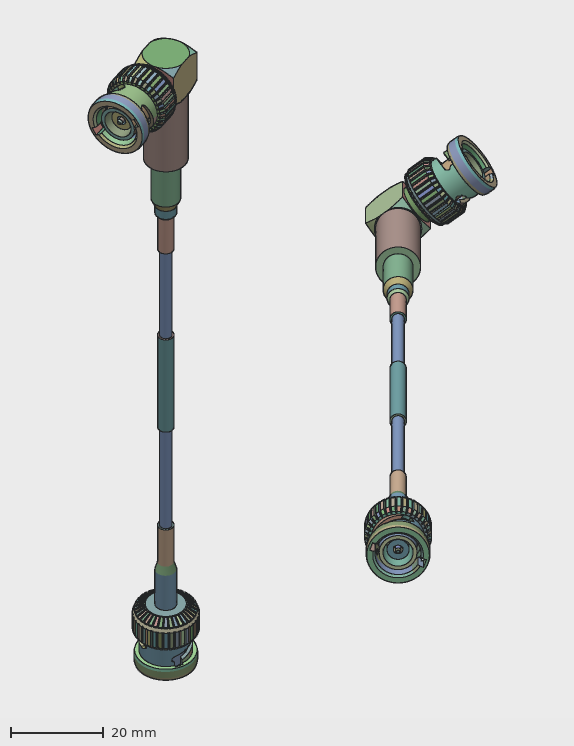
import cadquery as cq
import math


total_height = 170.4
total_depth = 29.1
knurl_tip_radius = 14.5 / 2
elbow_axis_z = total_height - knurl_tip_radius
elbow_face_y = knurl_tip_radius - total_depth

flange_radius = 13.8 / 2
flange_depth = 3.0
flange_bevel_length = 0.7
flange_bevel_height = 0.2
neck_radius = 5.8
knurl_start = 8.2
knurl_start_radius = 6.5
knurl_full = 9.2
knurl_end = 13.5
shoulder_end = 14.3
shoulder_end_radius = 6.6
rear_teeth_end = 14.7
rear_tip_radius = 6.8
cone_end = 15.8
cone_end_tip_radius = 4.8
tooth_count = 36
tooth_root_ratio = 0.94
tooth_tip_half_angle = math.radians(3.3)
tooth_root_half_angle = math.radians(1.0)
mouth_radius = 5.0
mouth_chamfer = 0.5
mouth_depth = 9.9
elbow_nut_length = 15.2

slot_width = 1.9
slot_start_depth = 4.8
slot_end_depth = 7.0
slot_start_angle = 148.0
slot_sweep = 90.0
slot_hole_diameter = 2.4
entry_radius = 6.1

body_radius = 4.5
contact_outer_radius = 4.1
contact_inner_radius = 3.2
contact_depth = 1.2
dielectric_radius = 2.4
dielectric_depth = 2.7
socket_radius = 1.0
socket_depth = 5.1
pin_radius = 0.6
pin_tip_radius = 0.3
pin_depth = 1.7
pin_tip_length = 0.5

block_width = 9.7
block_depth = 10.2
block_flat_radius = block_depth / 2
block_corner_drop = 1.4
ferrule_radius = 9.7 / 2
ferrule_bottom = 139.4

cable_radius = 1.4
boot_thin_radius = 3.5 / 2
boot_mid_radius = 2.4
boot_thick_radius = 3.2
marker_bottom = 64.8
marker_top = 90.3
lower_boot_cone_start = 25.4
lower_boot_cone_end = 27.5
lower_boot_top = 37.7
upper_boot_shoulder = 128.3
upper_boot_mid_top = 126.5
upper_boot_mid_bottom = 124.2
upper_boot_thin_top = 123.5
upper_boot_bottom = 114.2


def revolved(profile):
    """Revolve a closed (radius, z) outline about the Z axis."""
    return cq.Workplane("XZ").polyline(profile).close().revolve(360, (0, 0), (0, 1))


def cylinder(radius, bottom, top):
    return cq.Workplane("XY").workplane(offset=bottom).circle(radius).extrude(top - bottom)


def face_elbow(shape):
    """Move a plug part from its own axes (face at z = 0, rear toward +Z) to the elbow's -Y end."""
    return shape.rotate((0, 0, 0), (1, 0, 0), -90).translate((0, elbow_face_y, elbow_axis_z))


def tooth_outline(tip_radius):
    """Points of a ring of flat-topped teeth, with tip_radius measured to the middle of each tip."""
    tip_corner_radius = tip_radius / math.cos(tooth_tip_half_angle)
    root_corner_radius = tip_radius * tooth_root_ratio
    pitch = 2 * math.pi / tooth_count
    tooth_corners = [
        (-tooth_tip_half_angle, tip_corner_radius),
        (tooth_tip_half_angle, tip_corner_radius),
        (pitch / 2 - tooth_root_half_angle, root_corner_radius),
        (pitch / 2 + tooth_root_half_angle, root_corner_radius),
    ]
    points = []
    for tooth in range(tooth_count):
        for offset, radius in tooth_corners:
            angle = tooth * pitch + offset
            points.append((radius * math.cos(angle), radius * math.sin(angle)))
    return points


def toothed_ring(bottom, bottom_tip_radius, top, top_tip_radius):
    return (
        cq.Workplane("XY")
        .workplane(offset=bottom)
        .polyline(tooth_outline(bottom_tip_radius))
        .close()
        .workplane(offset=top - bottom)
        .polyline(tooth_outline(top_tip_radius))
        .close()
        .loft(ruled=True, combine=True)
    )


def bayonet_slot(start_angle):
    """Axial entry groove, sloping ramp and round end hole for one bayonet lug."""
    entry = (
        cq.Workplane("XY")
        .rect(entry_radius, slot_width)
        .extrude(slot_start_depth)
        .translate((entry_radius / 2, 0, 0))
        .rotate((0, 0, 0), (0, 0, 1), start_angle)
    )
    half_chord = neck_radius * math.sin(math.radians(slot_sweep / 2))
    rise = slot_end_depth - slot_start_depth
    ramp_length = math.hypot(2 * half_chord, rise)
    ramp_slope = math.degrees(math.atan2(rise, 2 * half_chord))
    ramp = (
        cq.Workplane("YZ")
        .center(0, (slot_start_depth + slot_end_depth) / 2)
        .slot2D(ramp_length + slot_width, slot_width, ramp_slope)
        .extrude(flange_radius)
        .rotate((0, 0, 0), (0, 0, 1), start_angle + slot_sweep / 2)
    )
    end_hole = (
        cq.Workplane("YZ")
        .center(0, slot_end_depth)
        .circle(slot_hole_diameter / 2)
        .extrude(flange_radius)
        .rotate((0, 0, 0), (0, 0, 1), start_angle + slot_sweep)
    )
    return entry.union(ramp).union(end_hole)


def make_flange():
    edge_radius = flange_radius - flange_bevel_height
    return revolved([
        (0, 0),
        (edge_radius, 0),
        (flange_radius, flange_bevel_length),
        (flange_radius, flange_depth - flange_bevel_length),
        (edge_radius, flange_depth),
        (0, flange_depth),
    ])


def make_shoulder():
    """Plain conical step between the main knurl and the rear teeth."""
    return revolved([
        (0, knurl_end),
        (knurl_tip_radius, knurl_end),
        (shoulder_end_radius, shoulder_end),
        (0, shoulder_end),
    ])


def make_full_nut():
    """The complete nut, with the rear cone at its full length."""
    sections = [
        make_flange(),
        cylinder(neck_radius, flange_depth, knurl_start),
        toothed_ring(knurl_start, knurl_start_radius, knurl_full, knurl_tip_radius),
        toothed_ring(knurl_full, knurl_tip_radius, knurl_end, knurl_tip_radius),
        make_shoulder(),
        toothed_ring(shoulder_end, rear_tip_radius, rear_teeth_end, rear_tip_radius),
        toothed_ring(rear_teeth_end, rear_tip_radius, cone_end, cone_end_tip_radius),
    ]
    bore = revolved([
        (0, 0),
        (mouth_radius + mouth_chamfer, 0),
        (mouth_radius, mouth_chamfer),
        (mouth_radius, mouth_depth),
        (body_radius, mouth_depth),
        (body_radius, cone_end),
        (0, cone_end),
    ])
    nut = cq.Workplane("XY")
    for section in sections:
        nut = nut.union(section.cut(bore), clean=False)
    for half_turn in (0, 180):
        nut = nut.cut(bayonet_slot(slot_start_angle + half_turn), clean=False)
    return nut


def shorten_nut(nut, length):
    """Cut the rear cone off flat at the given length."""
    return nut.cut(cylinder(2 * knurl_tip_radius, length, 2 * cone_end), clean=False)


def make_plug_body(rear):
    """Solid plug core from its pin tip to the given rear depth."""
    return revolved([
        (0, pin_depth),
        (pin_tip_radius, pin_depth),
        (pin_radius, pin_depth + pin_tip_length),
        (pin_radius, socket_depth),
        (socket_radius, socket_depth),
        (socket_radius, dielectric_depth),
        (dielectric_radius, dielectric_depth),
        (dielectric_radius, mouth_depth),
        (contact_inner_radius, mouth_depth),
        (contact_inner_radius, contact_depth),
        (contact_outer_radius, contact_depth),
        (contact_outer_radius, mouth_depth),
        (body_radius, mouth_depth),
        (body_radius, rear),
        (0, rear),
    ])


def make_elbow():
    half = block_depth / 2
    corner_reach = math.hypot(block_width, block_depth) / 2
    corner_turning = revolved([
        (0, -half),
        (block_flat_radius, -half),
        (corner_reach, -half + block_corner_drop),
        (corner_reach, half - block_corner_drop),
        (block_flat_radius, half),
        (0, half),
    ])
    block = cq.Workplane("XY").box(block_width, block_depth, block_depth).intersect(corner_turning)
    block = block.translate((0, 0, elbow_axis_z))
    ferrule = cylinder(ferrule_radius, ferrule_bottom, elbow_axis_z)
    plug = face_elbow(make_plug_body(-elbow_face_y))
    return block.union(ferrule).union(plug)


def make_cable():
    return cylinder(cable_radius, cone_end, ferrule_bottom)


def make_marker_sleeve():
    return cylinder(boot_thin_radius, marker_bottom, marker_top).cut(make_cable())


def make_lower_boot():
    return revolved([
        (cable_radius, cone_end),
        (boot_mid_radius, cone_end),
        (boot_mid_radius, lower_boot_cone_start),
        (boot_thin_radius, lower_boot_cone_end),
        (boot_thin_radius, lower_boot_top),
        (cable_radius, lower_boot_top),
    ])


def make_upper_boot():
    return revolved([
        (cable_radius, ferrule_bottom),
        (boot_thick_radius, ferrule_bottom),
        (boot_thick_radius, upper_boot_shoulder),
        (boot_mid_radius, upper_boot_mid_top),
        (boot_mid_radius, upper_boot_mid_bottom),
        (boot_thin_radius, upper_boot_thin_top),
        (boot_thin_radius, upper_boot_bottom),
        (cable_radius, upper_boot_bottom),
    ])


straight_nut = make_full_nut()
elbow_nut = face_elbow(shorten_nut(straight_nut, elbow_nut_length))
straight_body = make_plug_body(cone_end)
elbow_body = make_elbow()
cable = make_cable()
marker_sleeve = make_marker_sleeve()
lower_boot = make_lower_boot()
upper_boot = make_upper_boot()

result = cq.Compound.makeCompound([
    straight_nut.solids().val(),
    elbow_nut.solids().val(),
    straight_body.solids().val(),
    elbow_body.solids().val(),
    cable.solids().val(),
    marker_sleeve.solids().val(),
    lower_boot.solids().val(),
    upper_boot.solids().val(),
])